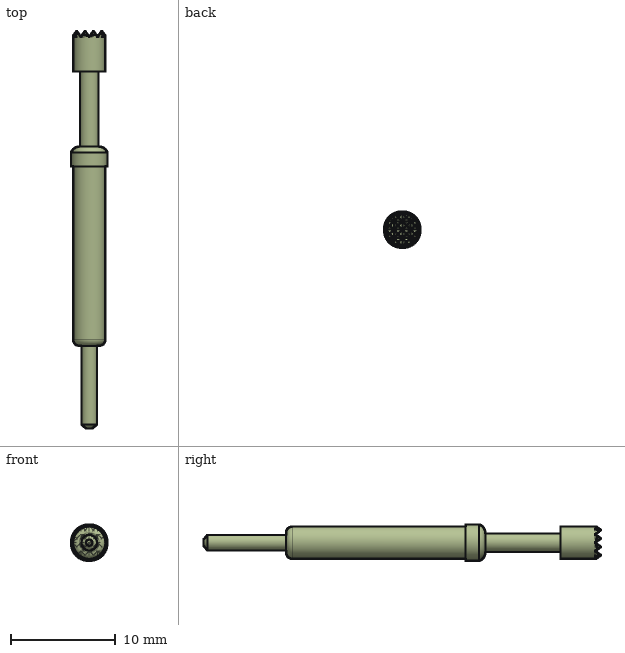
import cadquery as cq


total_length = 38.0
head_length = 3.9
plunger_length = 7.15
collar_length = 1.9
collar_nose_length = 0.6
barrel_length = 17.15
pin_tip_length = 0.4

head_diameter = 3.1
plunger_diameter = 1.8
collar_diameter = 3.5
barrel_diameter = 3.1
pin_diameter = 1.5
pin_tip_diameter = 0.6

barrel_fillet = 0.6

nose_bulge = 0.67

teeth_per_row = 4
tooth_pitch = 0.8
tooth_height = 0.57

tip_y = total_length / 2
head_rear_y = tip_y - head_length
collar_front_y = head_rear_y - plunger_length
collar_rear_y = collar_front_y - collar_length
barrel_rear_y = collar_rear_y - barrel_length
pin_end_y = -total_length / 2


def cylinder(diameter, front_y, rear_y):
    """Cylinder on the Y axis reaching from front_y back to rear_y."""
    plane = cq.Workplane("XZ", origin=(0, front_y, 0))
    return plane.circle(diameter / 2).extrude(front_y - rear_y)


def make_collar():
    """Press ring with a domed nose that meets the plunger."""
    radius = collar_diameter / 2
    nose_radius = plunger_diameter / 2
    shoulder_y = collar_front_y - collar_nose_length
    arc_middle = (
        nose_radius + (radius - nose_radius) * nose_bulge,
        shoulder_y + collar_nose_length * nose_bulge,
    )
    return (
        cq.Workplane("XY")
        .moveTo(0, collar_rear_y)
        .lineTo(radius, collar_rear_y)
        .lineTo(radius, shoulder_y)
        .threePointArc(arc_middle, (nose_radius, collar_front_y))
        .lineTo(0, collar_front_y)
        .close()
        .revolve(360, (0, 0, 0), (0, 1, 0))
    )


def make_barrel():
    """Barrel with its rear rim rounded."""
    barrel = cylinder(barrel_diameter, collar_rear_y, barrel_rear_y)
    return barrel.faces("<Y").edges().fillet(barrel_fillet)


def make_pin():
    """Solder pin ending in a blunt cone."""
    pin = cylinder(pin_diameter, barrel_rear_y, pin_end_y)
    cone_inset = (pin_diameter - pin_tip_diameter) / 2
    return pin.faces("<Y").chamfer(pin_tip_length, cone_inset)


def make_groove_cutter():
    """Parallel V grooves along Z, spaced across X at the tooth pitch."""
    half_pitch = tooth_pitch / 2
    root_y = tip_y - tooth_height
    first_root_x = -teeth_per_row * half_pitch
    cutter = cq.Workplane("XY")
    for index in range(teeth_per_row + 1):
        root_x = first_root_x + index * tooth_pitch
        cutter = cutter.union(
            cq.Workplane("XY")
            .moveTo(root_x, root_y)
            .lineTo(root_x + half_pitch, tip_y)
            .lineTo(root_x - half_pitch, tip_y)
            .close()
            .extrude(head_diameter, both=True)
        )
    return cutter


def make_head():
    """Crown head with pointed teeth on its front face."""
    grooves = make_groove_cutter()
    crossed_grooves = grooves.rotate((0, 0, 0), (0, 1, 0), 90)
    return cylinder(head_diameter, tip_y, head_rear_y).cut(grooves).cut(crossed_grooves)


result = (
    make_head()
    .union(cylinder(plunger_diameter, head_rear_y, collar_front_y))
    .union(make_collar())
    .union(make_barrel())
    .union(make_pin())
)